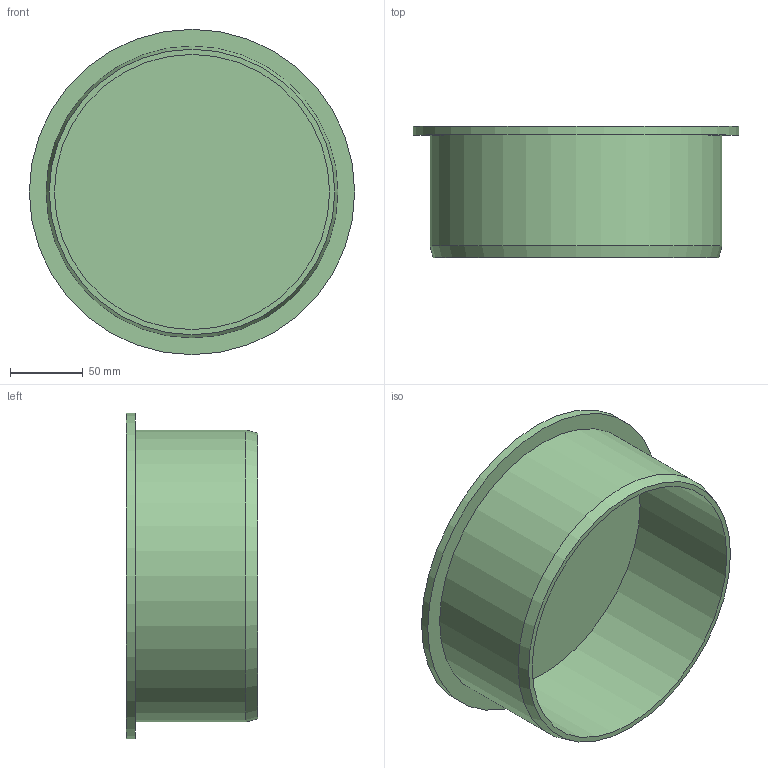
import cadquery as cq
import math

flange_diameter = 223.0
body_diameter = 200.0
bore_diameter = 188.6
total_length = 90.0

flange_thickness = 6.0
floor_thickness = 6.0

taper_length = 8.0
taper_angle = 15.0


def make_cap():
    """Flanged round cap: axis along Y, flange back at Y = 0, open rim toward -Y."""
    flange_radius = flange_diameter / 2
    body_radius = body_diameter / 2
    bore_radius = bore_diameter / 2
    rim_radius = body_radius - taper_length * math.tan(math.radians(taper_angle))

    half_section = (
        cq.Workplane("XY")
        .moveTo(0, 0)
        .lineTo(flange_radius, 0)
        .lineTo(flange_radius, -flange_thickness)
        .lineTo(body_radius, -flange_thickness)
        .lineTo(body_radius, -(total_length - taper_length))
        .lineTo(rim_radius, -total_length)
        .lineTo(bore_radius, -total_length)
        .lineTo(bore_radius, -floor_thickness)
        .lineTo(0, -floor_thickness)
        .close()
    )
    return half_section.revolve(360, (0, 0, 0), (0, 1, 0))


result = make_cap()